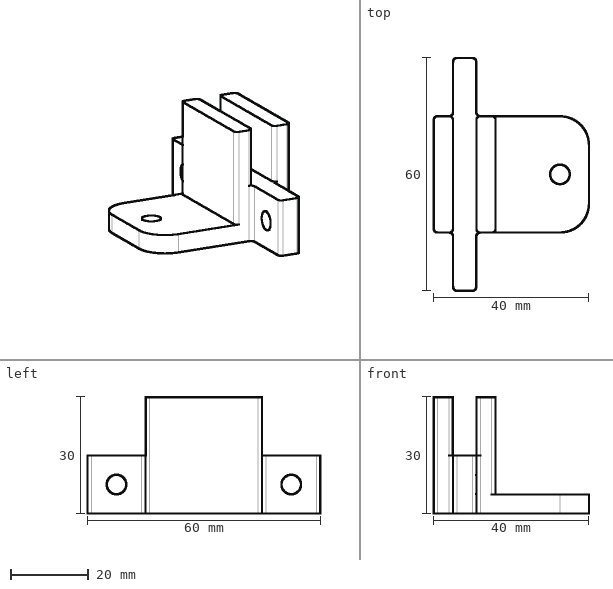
import cadquery as cq

wall = 5.0
slot_width = 6.0
total_length = 60.0
total_depth = 40.0
body_width = 30.0
body_height = 30.0
edge_radius = 1.0
plate_radius = 7.5
hole_diameter = 5.0
hole_inset = 7.5

bar_height = body_height / 2
bar_start = wall
bar_end = bar_start + slot_width
half_body = body_width / 2


def block(x_start, x_end, width, height):
    """Box standing on Z = 0, centred on Y."""
    return cq.Workplane("XY").box(
        x_end - x_start, width, height, centered=(False, True, False)
    ).translate((x_start, 0, 0))


def upright_wall(x_start):
    """Wall with all four vertical edges rounded."""
    return block(x_start, x_start + wall, body_width, body_height).edges("|Z").fillet(edge_radius)


def bar_root(x_face, outward, side):
    """Concave fillet between a crossbar face and a wall end.

    outward is the X direction away from the bar; side is the Y end.
    It also fills the rounded wall corner beside the bar.
    """
    y_end = side * half_body
    x_tip = x_face + outward * edge_radius
    y_tip = y_end + side * edge_radius
    y_inner = y_end - side * edge_radius
    corner = (
        cq.Workplane("XY")
        .moveTo(x_face, y_inner)
        .lineTo(x_tip, y_inner)
        .lineTo(x_tip, y_end)
        .radiusArc((x_face, y_tip), outward * side * edge_radius)
        .close()
    )
    return corner.extrude(bar_height)


plate = block(bar_end, total_depth, body_width, wall).edges("|Z and >X").fillet(plate_radius)

crossbar = block(bar_start, bar_end, total_length, bar_height).edges("|Z").fillet(edge_radius)

body = plate.union(crossbar).union(upright_wall(0)).union(upright_wall(bar_end))
for end_side in (-1, 1):
    body = body.union(bar_root(bar_start, -1, end_side))
    body = body.union(bar_root(bar_end, 1, end_side))

plate_hole = (
    cq.Workplane("XY")
    .center(total_depth - hole_inset, 0)
    .circle(hole_diameter / 2)
    .extrude(wall)
)

hole_offset = total_length / 2 - hole_inset
bar_holes = (
    cq.Workplane("YZ", origin=(bar_start, 0, 0))
    .pushPoints([(-hole_offset, bar_height / 2), (hole_offset, bar_height / 2)])
    .circle(hole_diameter / 2)
    .extrude(slot_width)
)

result = body.cut(plate_hole).cut(bar_holes)